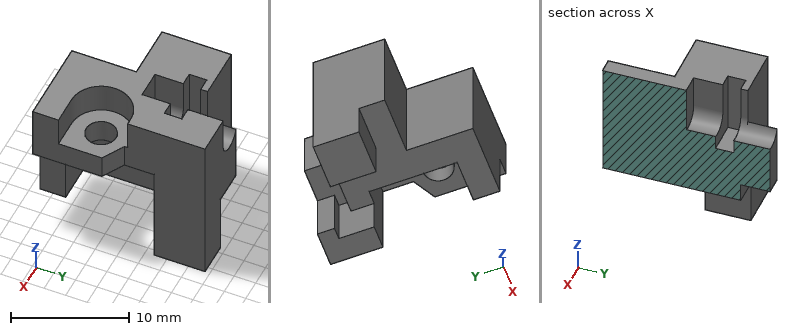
import cadquery as cq
import math

body_top = 14.78
body_bottom = 4.1
tower_bottom = 5.8
lug_bottom = 9.69
lug_floor = 11.92

width = 13.15
depth = 15.1
front_left = 5.2
wing_front = 6.0
wing_back = 12.46
tower_left = 4.88
tower_right = 11.13
lug_slope_back = 7.6
lug_slope_angle = 30.0

hole_x = 10.5
hole_y = 5.15
hole_diameter = 2.75
recess_radius = 2.75

wall_right = 11.68
pocket_left = 7.81
pocket_front = hole_y - recess_radius
pocket_back = 10.36

channel_x = 6.15
channel_radius = 1.31
channel_front = 7.57
channel_axis_z = 11.72
nut_width = 5.07
nut_front = 10.2
nut_back = 11.82
nut_floor = channel_axis_z - nut_width / 2

left_foot_width = 4.1
left_foot_front = 8.33
right_foot_left = 7.98
right_foot_step_x = 9.03
right_foot_step_y = 13.55


def block(x_range, y_range, z_range):
    """Box spanning the given lower and upper limits on each axis."""
    size = [upper - lower for lower, upper in (x_range, y_range, z_range)]
    corner = (x_range[0], y_range[0], z_range[0])
    return cq.Workplane("XY").box(*size, centered=False).translate(corner)


def make_body():
    """Full-height prism with the wing, the tower and the sloped lug corner."""
    slope_drop = (width - tower_right) * math.tan(math.radians(lug_slope_angle))
    outline = [
        (front_left, 0),
        (width, 0),
        (width, lug_slope_back - slope_drop),
        (tower_right, lug_slope_back),
        (tower_right, depth),
        (tower_left, depth),
        (tower_left, wing_back),
        (0, wing_back),
        (0, wing_front),
        (front_left, wing_front),
    ]
    prism = cq.Workplane("XY").workplane(offset=body_bottom).polyline(outline).close()
    return prism.extrude(body_top - body_bottom)


def lug_pocket():
    """Space under the lug, with a thin front wall left standing."""
    pocket = block((pocket_left, width), (pocket_front, pocket_back), (body_bottom, lug_bottom))
    wall_end = block((wall_right, width), (0, pocket_front), (body_bottom, lug_bottom))
    return pocket.union(wall_end)


def lug_recess():
    """Round-ended recess open to the right, with the screw hole in its floor."""
    height = body_top - lug_floor
    round_end = cq.Workplane("XY", origin=(hole_x, hole_y, lug_floor)).circle(recess_radius).extrude(height)
    opening = block(
        (hole_x, width),
        (hole_y - recess_radius, hole_y + recess_radius),
        (lug_floor, body_top),
    )
    hole = cq.Workplane("XY", origin=(hole_x, hole_y, body_bottom)).circle(hole_diameter / 2)
    return round_end.union(opening).union(hole.extrude(body_top - body_bottom))


def screw_channel():
    """Round-bottomed channel open to the top and the back."""
    length = depth - channel_front
    bottom = cq.Workplane("XZ", origin=(channel_x, depth, channel_axis_z)).circle(channel_radius).extrude(length)
    opening = block(
        (channel_x - channel_radius, channel_x + channel_radius),
        (channel_front, depth),
        (channel_axis_z, body_top),
    )
    return bottom.union(opening)


def nut_slot():
    """Slot across the channel that holds the nut."""
    return block(
        (channel_x - nut_width / 2, channel_x + nut_width / 2),
        (nut_front, nut_back),
        (nut_floor, body_top),
    )


def tower_undercut():
    """Clearance under the overhanging back left part of the tower."""
    return block((tower_left, right_foot_step_x), (wing_back, depth), (body_bottom, tower_bottom))


def make_feet():
    """Left foot under the wing and the stepped right foot under the tower."""
    left = block((0, left_foot_width), (left_foot_front, wing_back), (0, body_bottom))
    right = block((right_foot_step_x, tower_right), (pocket_back, depth), (0, body_bottom))
    right_step = block((right_foot_left, right_foot_step_x), (right_foot_step_y, depth), (0, tower_bottom))
    return left.union(right).union(right_step)


body = make_body()
for cutter in (lug_pocket(), lug_recess(), screw_channel(), nut_slot(), tower_undercut()):
    body = body.cut(cutter)

result = body.union(make_feet())